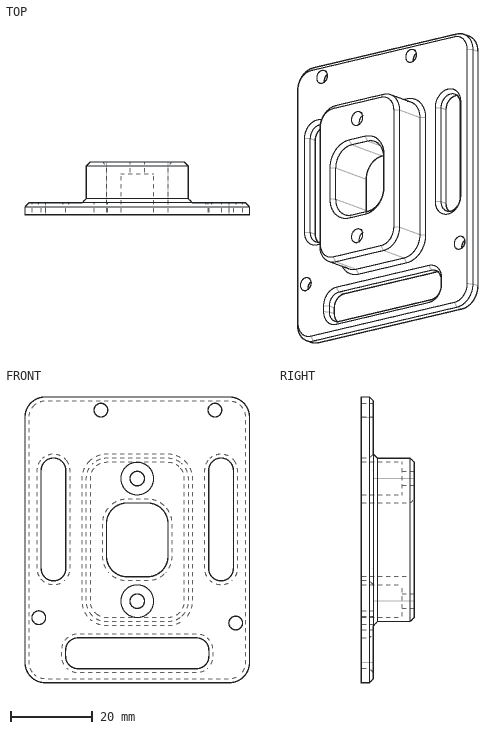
import cadquery as cq

plate_width = 55.0
plate_height = 70.0
plate_thickness = 3.0
outer_corner_radius = 5.0
edge_chamfer = 1.0

block_width = 25.0
block_height = 40.0
total_depth = 13.0
block_depth = total_depth - plate_thickness

window_width = 15.0
window_height = 18.0
window_corner_radius = 5.0

screw_offset = 15.0
screw_diameter = 3.5
counterbore_diameter = 8.0
counterbore_depth = 10.0

slot_inner_edge = 17.5
side_slot_width = 6.0
side_slot_top = 20.0
side_slot_height = 30.0
bottom_slot_width = 2 * slot_inner_edge
bottom_slot_height = 7.5
bottom_slot_corner_radius = 3.0
bottom_slot_top = -24.0

mount_diameter = 3.3
mount_half_spread = 24.1
mount_top_z = 31.75
mount_row_distance = 50.8
mount_right_drop = 1.3
mount_top_left_inset = 15.2
mount_top_right_inset = 5.1
mount_points = [
    (-mount_half_spread + mount_top_left_inset, mount_top_z),
    (mount_half_spread - mount_top_right_inset, mount_top_z),
    (-mount_half_spread, mount_top_z - mount_row_distance),
    (mount_half_spread, mount_top_z - mount_row_distance - mount_right_drop),
]


def rounded_block(width, height, depth, radius, y=0.0):
    """Block centred on X and Z, running from y toward +Y, with corners rounded along Y."""
    block = cq.Workplane("XY").box(width, depth, height, centered=(True, False, True))
    return block.edges("|Y").fillet(radius).translate((0, y, 0))


def round_ended_block(width, height, depth, y=0.0):
    """Upright block with fully round ends, centred on X and Z, running from y toward +Y."""
    block = cq.Workplane("XZ").slot2D(height, width, 90).extrude(-depth)
    return block.translate((0, y, 0))


def bore(diameter, depth, x, z):
    """Cylinder along +Y starting at the front face."""
    return cq.Workplane("XZ").center(x, z).circle(diameter / 2).extrude(-depth)


def chamfer_back(block):
    return block.faces(">Y").edges().chamfer(edge_chamfer)


def make_plate():
    return chamfer_back(rounded_block(plate_width, plate_height, plate_thickness, outer_corner_radius))


def make_block():
    return chamfer_back(
        rounded_block(block_width, block_height, block_depth, outer_corner_radius, y=plate_thickness)
    )


def make_foot():
    """Sloped collar where the block meets the plate, narrowing to the block outline."""
    foot = rounded_block(
        block_width + 2 * edge_chamfer,
        block_height + 2 * edge_chamfer,
        2 * edge_chamfer,
        outer_corner_radius + edge_chamfer,
        y=plate_thickness - edge_chamfer,
    )
    return chamfer_back(foot)


def chamfer_front(block):
    return block.faces("<Y").edges().chamfer(edge_chamfer)


def rounded_cutter(width, height, depth, radius):
    """Opening with rounded corners, widened by a chamfer at its back rim."""
    opening = rounded_block(width, height, depth, radius)
    rim = rounded_block(
        width + 2 * edge_chamfer,
        height + 2 * edge_chamfer,
        2 * edge_chamfer,
        radius + edge_chamfer,
        y=depth - edge_chamfer,
    )
    return opening.union(chamfer_front(rim))


def round_ended_cutter(width, height, depth):
    """Opening with fully round ends, widened by a chamfer at its back rim."""
    opening = round_ended_block(width, height, depth)
    rim = round_ended_block(
        width + 2 * edge_chamfer,
        height + 2 * edge_chamfer,
        2 * edge_chamfer,
        y=depth - edge_chamfer,
    )
    return opening.union(chamfer_front(rim))


def cut_window(body):
    return body.cut(rounded_cutter(window_width, window_height, total_depth, window_corner_radius))


def cut_screw_holes(body):
    for z in (-screw_offset, screw_offset):
        body = body.cut(bore(screw_diameter, total_depth, 0, z))
        body = body.cut(bore(counterbore_diameter, counterbore_depth, 0, z))
    return body


def cut_slots(body):
    side_x = slot_inner_edge + side_slot_width / 2
    side_z = side_slot_top - side_slot_height / 2
    side_slot = round_ended_cutter(side_slot_width, side_slot_height, plate_thickness)
    for x in (-side_x, side_x):
        body = body.cut(side_slot.translate((x, 0, side_z)))
    bottom_z = bottom_slot_top - bottom_slot_height / 2
    bottom_slot = rounded_cutter(
        bottom_slot_width, bottom_slot_height, plate_thickness, bottom_slot_corner_radius
    )
    return body.cut(bottom_slot.translate((0, 0, bottom_z)))


def cut_mount_holes(body):
    for x, z in mount_points:
        body = body.cut(bore(mount_diameter, plate_thickness, x, z))
    return body


body = make_plate().union(make_foot()).union(make_block())
body = cut_window(body)
body = cut_screw_holes(body)
body = cut_slots(body)
result = cut_mount_holes(body)